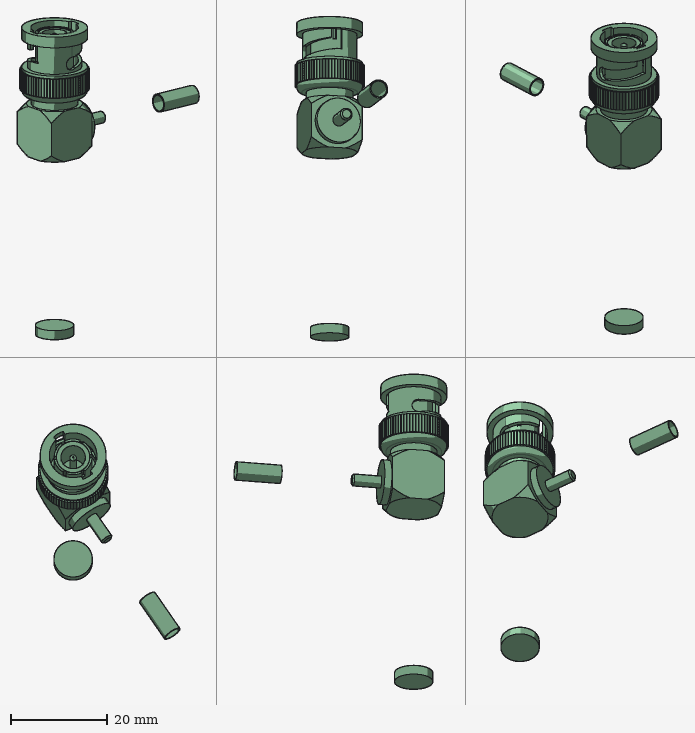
import cadquery as cq
import math

overall_height = 66.65
flange_height = 2.3
barrel_height = 6.1
collar_height = 0.6
knurl_height = 4.1
shoulder_height = 1.45
neck_height = 1.85
block_size = 11.0

flange_base = overall_height - flange_height
barrel_base = flange_base - barrel_height
knurl_top = barrel_base - collar_height
knurl_base = knurl_top - knurl_height
shoulder_base = knurl_base - shoulder_height
neck_base = shoulder_base - neck_height
block_base = neck_base - block_size
cable_height = neck_base - block_size / 2

overall_depth = 44.85

flange_radius = 6.85
barrel_radius = 5.65
bore_radius = 4.9
shoulder_base_radius = 5.8
neck_radius = 4.85
bore_depth = 10.0

knurl_diameter = 14.45
knurl_radius = knurl_diameter / 2
groove_count = 72
groove_depth = 0.25
groove_width = 0.1
groove_pitch_angle = 2 * math.pi / groove_count
groove_half_angle = math.asin(groove_width / 2 / knurl_radius)

slot_count = 2
entry_width = 2.25
ramp_width = 2.5
ramp_start_depth = 5.2
ramp_drop = 1.3
seat_radius = 1.4
quarters_per_turn = 4
entry_depth = ramp_start_depth + ramp_width / 2
seat_height = overall_height - ramp_start_depth - ramp_drop
cut_margin = 0.65

sleeve_radius = 3.9
insulator_radius = 3.45
insulator_bore_radius = 2.5
sleeve_recess = 1.0
insulator_recess = 1.2
slit_count = 6
slit_width = 0.65
slit_bottom_depth = 4.05
pin_radius = 0.65
pin_tip_radius = 0.1
pin_tip_height = 0.4
pin_recess = 1.25

corner_cone_radius = 5.8
cable_flange_radius = 4.65
cable_flange_end = 7.0
cable_stub_radius = 1.25
cable_stub_end = 13.05
cable_stub_chamfer = 0.3

ferrule_radius = 1.9
ferrule_wall = 0.25
ferrule_length = 9.45
ferrule_end = overall_depth - knurl_radius
cap_radius = 4.0
cap_height = 2.0


def cylinder(radius, bottom, top):
    """Cylinder on the Z axis between two heights."""
    return cq.Workplane("XY").workplane(offset=bottom).circle(radius).extrude(top - bottom)


def cylinder_along_y(radius, start, end):
    """Cylinder at the height of the cable, from Y = start to Y = end."""
    plane = cq.Plane(origin=(0, start, cable_height), xDir=(1, 0, 0), normal=(0, 1, 0))
    return cq.Workplane(plane).circle(radius).extrude(end - start)


def around_axis(shape, count):
    """Copies of a shape spread evenly around the Z axis."""
    step = 360.0 / count
    return [shape.rotate((0, 0, 0), (0, 0, 1), step * index) for index in range(count)]


def elbow_block():
    """Cube whose corners are cut at 45 degrees by a cone at the top and another at the bottom."""
    middle_radius = corner_cone_radius + block_size / 2
    cones = (
        cq.Workplane("XZ")
        .moveTo(0, block_base)
        .lineTo(corner_cone_radius, block_base)
        .lineTo(middle_radius, cable_height)
        .lineTo(corner_cone_radius, neck_base)
        .lineTo(0, neck_base)
        .close()
        .revolve(360, (0, 0), (0, 1))
    )
    cube = cq.Workplane("XY").box(block_size, block_size, block_size)
    return cube.translate((0, 0, cable_height)).intersect(cones)


def cable_entry():
    """Flange and chamfered stub on the +Y side of the block."""
    flange = cylinder_along_y(cable_flange_radius, 0, cable_flange_end)
    stub = cylinder_along_y(cable_stub_radius, 0, cable_stub_end)
    return flange.union(stub.faces(">Y").chamfer(cable_stub_chamfer))


def coupling_nut():
    """Neck, rounded shoulder, collar, barrel and rim flange as one turned profile."""
    diagonal = math.sqrt(0.5)
    arc_middle = (
        shoulder_base_radius + (flange_radius - shoulder_base_radius) * diagonal,
        knurl_base - shoulder_height * diagonal,
    )
    return (
        cq.Workplane("XZ")
        .moveTo(0, neck_base)
        .lineTo(neck_radius, neck_base)
        .lineTo(neck_radius, shoulder_base)
        .lineTo(shoulder_base_radius, shoulder_base)
        .threePointArc(arc_middle, (flange_radius, knurl_base))
        .lineTo(flange_radius, barrel_base)
        .lineTo(barrel_radius, barrel_base)
        .lineTo(barrel_radius, flange_base)
        .lineTo(flange_radius, flange_base)
        .lineTo(flange_radius, overall_height)
        .lineTo(0, overall_height)
        .close()
        .revolve(360, (0, 0), (0, 1))
    )


def polar_point(radius, angle):
    """Point on a circle around the Z axis, for an angle in radians."""
    return (radius * math.cos(angle), radius * math.sin(angle))


def knurl():
    """Ring with narrow V grooves, evenly spaced so that a land is centred on +X."""
    land_half_angle = groove_pitch_angle / 2 - groove_half_angle
    outline = (
        cq.Workplane("XY")
        .workplane(offset=knurl_base)
        .moveTo(*polar_point(knurl_radius, -land_half_angle))
    )
    for index in range(groove_count):
        land_middle = index * groove_pitch_angle
        groove_middle = land_middle + groove_pitch_angle / 2
        outline = outline.threePointArc(
            polar_point(knurl_radius, land_middle),
            polar_point(knurl_radius, land_middle + land_half_angle),
        )
        outline = outline.lineTo(*polar_point(knurl_radius - groove_depth, groove_middle))
        if index < groove_count - 1:
            outline = outline.lineTo(*polar_point(knurl_radius, groove_middle + groove_half_angle))
    return outline.close().extrude(knurl_height)


def bayonet_slot():
    """Cutter for the slot that enters at -Y and climbs down to its latch seat at -X."""
    outer = barrel_radius
    inner = bore_radius - cut_margin
    entry = (
        cq.Workplane("XY")
        .box(entry_width, outer + cut_margin, entry_depth, centered=(True, False, False))
        .translate((0, -outer - cut_margin, overall_height - entry_depth))
        .intersect(cylinder(outer, 0, overall_height))
    )
    seat = (
        cq.Workplane("YZ")
        .center(0, seat_height)
        .circle(seat_radius)
        .extrude(-outer - cut_margin)
    )
    path = cq.Wire.makeHelix(ramp_drop * quarters_per_turn, ramp_drop, outer)
    ramp = (
        cq.Workplane("XZ")
        .center((inner + outer + cut_margin) / 2, 0)
        .rect(outer + cut_margin - inner, ramp_width)
        .sweep(cq.Workplane(obj=path), isFrenet=True)
        .rotate((0, 0, 0), (0, 0, 1), 180)
        .translate((0, 0, seat_height))
    )
    core = cylinder(inner, 0, overall_height)
    return entry.union(seat).union(ramp).cut(core)


def contact():
    """Slit contact sleeve around a bored insulator with a pointed centre pin."""
    floor = overall_height - bore_depth
    insulator_top = overall_height - insulator_recess
    sleeve_top = overall_height - sleeve_recess
    pin_top = overall_height - pin_recess

    insulator = cylinder(insulator_radius, floor, insulator_top)
    sleeve = cylinder(sleeve_radius, floor, sleeve_top).cut(cylinder(insulator_radius, floor, sleeve_top))
    slit = (
        cq.Workplane("XY")
        .box(slit_width, sleeve_radius, slit_bottom_depth, centered=(True, False, False))
        .translate((0, insulator_radius, overall_height - slit_bottom_depth))
    )
    for cutter in around_axis(slit, slit_count):
        sleeve = sleeve.cut(cutter)

    pin = (
        cq.Workplane("XZ")
        .moveTo(0, floor)
        .lineTo(pin_radius, floor)
        .lineTo(pin_radius, pin_top - pin_tip_height)
        .lineTo(pin_tip_radius, pin_top)
        .lineTo(0, pin_top)
        .close()
        .revolve(360, (0, 0), (0, 1))
    )
    bore = cylinder(insulator_bore_radius, floor, insulator_top)
    return sleeve.union(insulator).cut(bore).union(pin)


def make_connector():
    """Right-angle bayonet connector: block, cable entry, coupling nut and contact."""
    nut = coupling_nut().union(knurl())
    nut = nut.cut(cylinder(bore_radius, overall_height - bore_depth, overall_height))
    for cutter in around_axis(bayonet_slot(), slot_count):
        nut = nut.cut(cutter)
    return nut.union(contact()).union(elbow_block()).union(cable_entry())


def make_ferrule():
    """Thin crimp tube in line with the cable stub."""
    start = ferrule_end - ferrule_length
    tube = cylinder_along_y(ferrule_radius, start, ferrule_end)
    return tube.cut(cylinder_along_y(ferrule_radius - ferrule_wall, start, ferrule_end))


def make_cap():
    """Plain disc below the block."""
    return cylinder(cap_radius, 0, cap_height)


connector = make_connector()
ferrule = make_ferrule()
cap = make_cap()
result = cq.Compound.makeCompound([connector.val(), ferrule.val(), cap.val()])